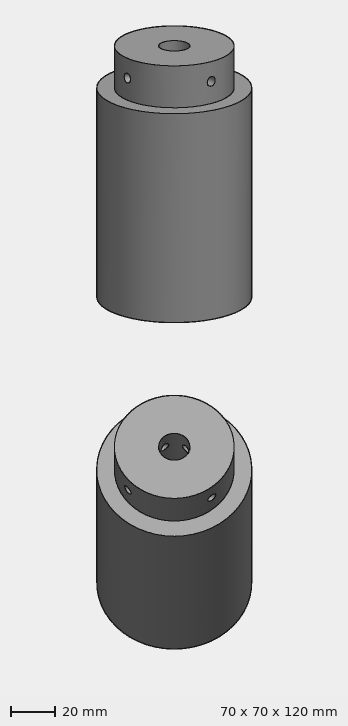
import cadquery as cq

total_height = 120.0
body_diameter = 70.0
neck_diameter = 54.0
neck_height = 20.0
bore_diameter = 14.0

pin_hole_diameter = 4.5
pin_hole_depth_from_top = 9.5

body_height = total_height - neck_height
pin_hole_z = total_height - pin_hole_depth_from_top


def cross_hole(plane_name):
    """Cylinder through the full neck, along the normal of the given plane."""
    return (
        cq.Workplane(plane_name)
        .center(0, pin_hole_z)
        .circle(pin_hole_diameter / 2)
        .extrude(neck_diameter, both=True)
    )


body = cq.Workplane("XY").circle(body_diameter / 2).extrude(body_height)
neck = (
    cq.Workplane("XY")
    .workplane(offset=body_height)
    .circle(neck_diameter / 2)
    .extrude(neck_height)
)

bore = cq.Workplane("XY").circle(bore_diameter / 2).extrude(total_height)

result = body.union(neck).cut(bore)
for plane_name in ("XZ", "YZ"):
    result = result.cut(cross_hole(plane_name))